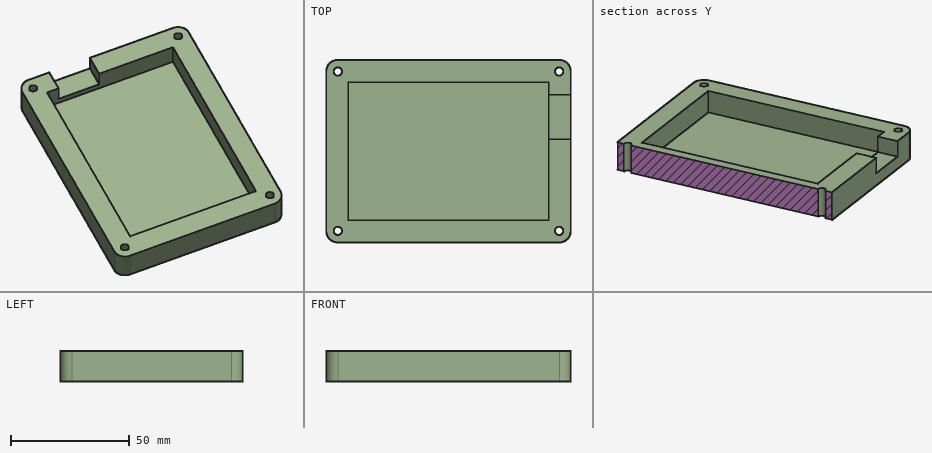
import cadquery as cq

length = 103.4
width = 77.2
height = 13.0
corner_radius = 5.0

wall = 9.4
floor_thickness = 3.0

notch_width = 18.8
notch_center_y = 14.5
notch_depth = 7.2

hole_diameter = 3.4


def make_body():
    body = cq.Workplane("XY").box(length, width, height, centered=(True, True, False))
    return body.edges("|Z").fillet(corner_radius)


def make_pocket():
    return (
        cq.Workplane("XY", origin=(0, 0, floor_thickness))
        .rect(length - 2 * wall, width - 2 * wall)
        .extrude(height - floor_thickness)
    )


def make_notch():
    notch_center_x = (length - wall) / 2
    return (
        cq.Workplane("XY", origin=(notch_center_x, notch_center_y, height - notch_depth))
        .rect(wall, notch_width)
        .extrude(notch_depth)
    )


def make_screw_holes():
    return (
        cq.Workplane("XY")
        .rect(length - 2 * corner_radius, width - 2 * corner_radius, forConstruction=True)
        .vertices()
        .circle(hole_diameter / 2)
        .extrude(height)
    )


result = make_body().cut(make_pocket()).cut(make_notch()).cut(make_screw_holes())